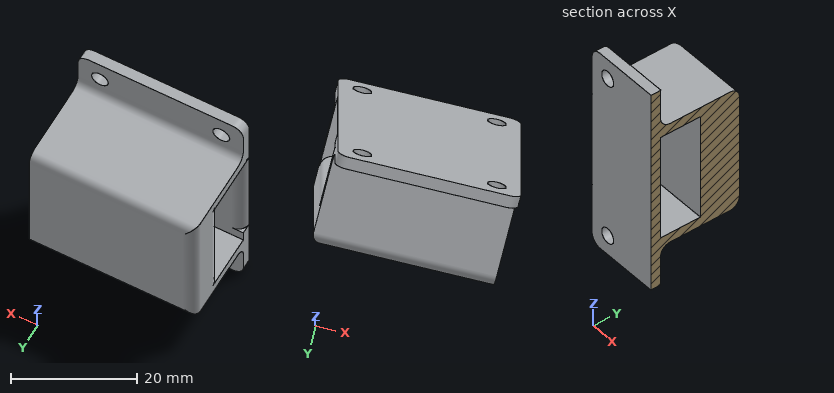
import cadquery as cq

WIDTH = 30.0
PLATE_HEIGHT = 41.0
PLATE_THICKNESS = 2.0
PLATE_CORNER_RADIUS = 2.0

HOLE_DIAMETER = 3.0
HOLE_EDGE_DISTANCE = 4.0
HOLE_SPACING_X = WIDTH - 2 * HOLE_EDGE_DISTANCE
HOLE_SPACING_Z = PLATE_HEIGHT - 2 * HOLE_EDGE_DISTANCE

TOTAL_DEPTH = 18.0
HOUSING_HEIGHT = 25.0
HOUSING_EDGE_RADIUS = 2.0
ROOT_FILLET_RADIUS = 2.0

WALL = 2.0
CAVITY_HEIGHT = HOUSING_HEIGHT - 2 * WALL
CAVITY_BACK = 10.0
MOUTH_RADIUS = 2.0
MOUTH_SILL = 2.0

WINDOW_BACK = 9.5
WINDOW_HEIGHT = 12.0

LEFT = -WIDTH / 2
RIGHT = WIDTH / 2
CAVITY_BOTTOM = -CAVITY_HEIGHT / 2
CAVITY_TOP = CAVITY_HEIGHT / 2


def box_between(x_range, y_range, z_range):
    """Box spanning the given (low, high) range along each axis."""
    lows, highs = zip(x_range, y_range, z_range)
    sizes = [high - low for low, high in zip(lows, highs)]
    return cq.Workplane("XY").box(*sizes, centered=False).translate(lows)


def make_plate():
    """Mounting plate with rounded corners."""
    plate = cq.Workplane("XY").box(WIDTH, PLATE_THICKNESS, PLATE_HEIGHT, centered=(True, False, True))
    return plate.edges("|Y").fillet(PLATE_CORNER_RADIUS)


def make_housing():
    """Solid block with its back top, bottom and -X edges rounded."""
    housing = cq.Workplane("XY").box(WIDTH, TOTAL_DEPTH, HOUSING_HEIGHT, centered=(True, False, True))
    housing = housing.faces(">Y").edges("|X or <X")
    return housing.fillet(HOUSING_EDGE_RADIUS)


def make_root_fillet(side):
    """Concave fillet where the housing meets the plate; side is +1 (top) or -1 (bottom)."""
    wall_z = side * HOUSING_HEIGHT / 2
    center = (PLATE_THICKNESS + ROOT_FILLET_RADIUS, wall_z + side * ROOT_FILLET_RADIUS)
    strip_z = sorted((wall_z, center[1]))
    strip = box_between((LEFT, RIGHT), (PLATE_THICKNESS, center[0]), strip_z)
    round_cut = cq.Workplane("YZ", origin=(LEFT, 0, 0)).center(*center).circle(ROOT_FILLET_RADIUS)
    return strip.cut(round_cut.extrude(WIDTH))


def make_mouth_flare(y_face, direction, z_bottom):
    """Cutter rounding one vertical edge of the mouth, leaving the wall on the `direction` side."""
    y_outer = y_face + direction * MOUTH_RADIUS
    strip = box_between(
        (LEFT, LEFT + MOUTH_RADIUS), sorted((y_face, y_outer)), (z_bottom, CAVITY_TOP)
    )
    lip = (
        cq.Workplane("XY", origin=(0, 0, z_bottom))
        .center(LEFT + MOUTH_RADIUS, y_outer)
        .circle(MOUTH_RADIUS)
        .extrude(CAVITY_TOP - z_bottom)
    )
    return strip.cut(lip)


def make_cavity():
    """Pocket entering from -X and stopping at the +X end wall, with flared mouth."""
    cavity = box_between(
        (LEFT, RIGHT - WALL), (PLATE_THICKNESS, CAVITY_BACK), (CAVITY_BOTTOM, CAVITY_TOP)
    )
    back_flare = make_mouth_flare(CAVITY_BACK, 1, CAVITY_BOTTOM)
    plate_flare = make_mouth_flare(PLATE_THICKNESS, -1, CAVITY_BOTTOM + MOUTH_SILL)
    return cavity.union(back_flare).union(plate_flare)


def make_window():
    """Rectangular opening through the +X end wall, level with the cavity floor."""
    return box_between(
        (RIGHT - WALL, RIGHT),
        (PLATE_THICKNESS, WINDOW_BACK),
        (CAVITY_BOTTOM, CAVITY_BOTTOM + WINDOW_HEIGHT),
    )


def make_screw_holes():
    """Four holes through the plate, one near each corner."""
    return (
        cq.Workplane("XZ")
        .rarray(HOLE_SPACING_X, HOLE_SPACING_Z, 2, 2)
        .circle(HOLE_DIAMETER / 2)
        .extrude(-PLATE_THICKNESS)
    )


body = make_plate().union(make_housing())
for side in (1, -1):
    body = body.union(make_root_fillet(side))

result = body.cut(make_cavity()).cut(make_window()).cut(make_screw_holes())